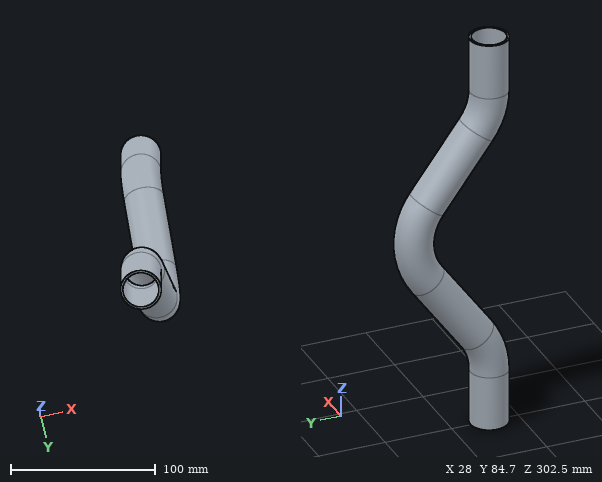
import cadquery as cq
import math

outer_diameter = 28.0
wall = 1.65

total_height = 302.5
total_depth = 84.7
end_length = 41.5
bend_radius = 50.0

mid_height = total_height / 2
offset = total_depth - outer_diameter
rise = mid_height - end_length

bend_centre_gap = 2 * bend_radius
leg_length = math.sqrt((bend_centre_gap - offset) ** 2 + rise**2 - bend_centre_gap**2)
tilt = math.atan2(bend_centre_gap, leg_length) - math.atan2(bend_centre_gap - offset, rise)

def bend_offset(angle):
    """Sideways and upward travel along a bend that starts out vertical."""
    return bend_radius * (1 - math.cos(angle)), bend_radius * math.sin(angle)

half_bend_y, half_bend_z = bend_offset(tilt / 2)
bend_y, bend_z = bend_offset(tilt)

base = (0, 0)
bend_start = (0, end_length)
bend_middle = (half_bend_y, end_length + half_bend_z)
leg_start = (bend_y, end_length + bend_z)
leg_end = (offset - bend_y, mid_height - bend_z)
crest = (offset, mid_height)

def mirrored(point):
    """Matching point on the upper half."""
    y, z = point
    return y, total_height - z

centre_line = (
    cq.Workplane("YZ")
    .moveTo(*base)
    .lineTo(*bend_start)
    .threePointArc(bend_middle, leg_start)
    .lineTo(*leg_end)
    .threePointArc(crest, mirrored(leg_end))
    .lineTo(*mirrored(leg_start))
    .threePointArc(mirrored(bend_middle), mirrored(bend_start))
    .lineTo(*mirrored(base))
)

inner_diameter = outer_diameter - 2 * wall
ring = cq.Workplane("XY").circle(outer_diameter / 2).circle(inner_diameter / 2)
result = ring.sweep(centre_line)